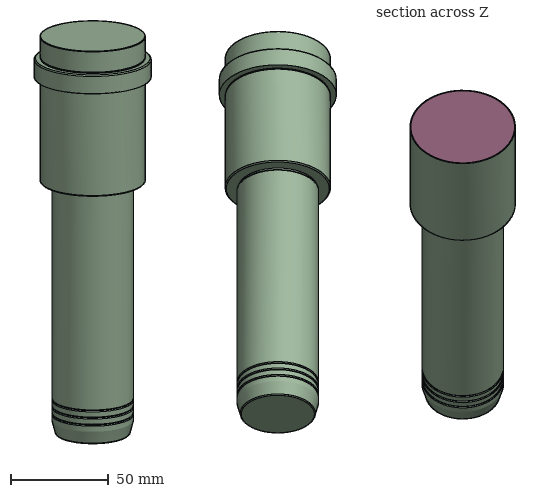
import cadquery as cq

total_height = 213.0
head_height = 78.0
cap_height = 12.0
collar_height = 10.0
nose_height = 7.0

collar_diameter = 60.0
head_diameter = 54.0
stem_diameter = 42.0
nose_diameter = 38.5
neck_diameter = 41.0

edge_chamfer = 0.6
cap_chamfer = 0.32
nose_chamfer = 0.53
relief_width = 0.6
relief_depth = 0.32
neck_height = 1.3
groove_width = 1.0
groove_depth = 0.5
groove_count = 3
groove_pitch = 3.8
first_groove_height = 10.6

head_bottom = total_height - head_height
collar_top = total_height - cap_height
collar_bottom = collar_top - collar_height


def cylinder(diameter, bottom, top):
    """Upright cylinder on the Z axis between two heights."""
    return cq.Workplane("XY").workplane(offset=bottom).circle(diameter / 2).extrude(top - bottom)


def make_stem():
    """Stem with a tapered nose and a slightly narrower neck under the head."""
    nose_radius = nose_diameter / 2
    stem_radius = stem_diameter / 2
    neck_radius = neck_diameter / 2
    neck_bottom = head_bottom - neck_height
    profile = [
        (0, 0),
        (nose_radius - nose_chamfer, 0),
        (nose_radius, nose_chamfer),
        (stem_radius, nose_height),
        (stem_radius, neck_bottom),
        (neck_radius, neck_bottom),
        (neck_radius, head_bottom),
        (0, head_bottom),
    ]
    return cq.Workplane("XZ").polyline(profile).close().revolve(360, (0, 0), (0, 1))


def ring_cutter(diameter, depth, bottom, top):
    """Ring that cuts a shallow groove into a cylinder of the given diameter."""
    core = cylinder(diameter - 2 * depth, bottom, top)
    return cylinder(collar_diameter, bottom, top).cut(core)


def make_head():
    """Cylindrical head with a collar and a relief groove on each side of the collar."""
    body = cylinder(head_diameter, head_bottom, total_height)
    body = body.faces("<Z").chamfer(edge_chamfer).faces(">Z").chamfer(cap_chamfer)
    for bottom in (collar_bottom - relief_width, collar_top):
        body = body.cut(ring_cutter(head_diameter, relief_depth, bottom, bottom + relief_width))
    collar = cylinder(collar_diameter, collar_bottom, collar_top).faces(">Z").chamfer(edge_chamfer)
    return body.union(collar)


def make_groove(center_height):
    """Cutter for one V-shaped stem groove centred at the given height."""
    stem_radius = stem_diameter / 2
    profile = [
        (stem_radius, center_height - groove_width / 2),
        (stem_radius, center_height + groove_width / 2),
        (stem_radius - groove_depth, center_height),
    ]
    return cq.Workplane("XZ").polyline(profile).close().revolve(360, (0, 0), (0, 1))


result = make_stem().union(make_head())
for index in range(groove_count):
    result = result.cut(make_groove(first_groove_height + index * groove_pitch))